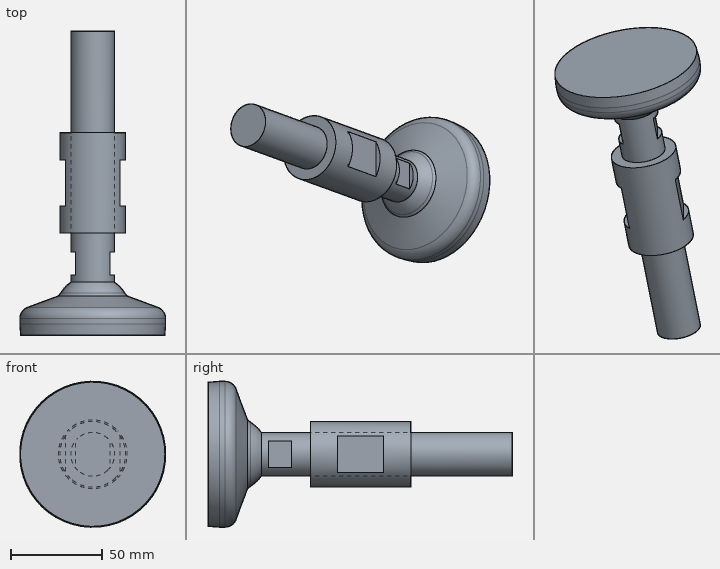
import cadquery as cq
import math

TOTAL_LENGTH = 166.5
SOLE_EDGE_Y = 6.2
ROUND_START_Y = 9.2
CONE_END_Y = 21.6
NECK_START_Y = 23.1
NECK_END_Y = 29.1

FOOT_RADIUS = 40.0
SOLE_RADIUS = 39.5
SHOULDER_ROUND = 6.7
CONE_END_RADIUS = 18.8
NECK_RADIUS = 17.6

SPINDLE_RADIUS = 12.0
SPINDLE_FLAT_WIDTH = 19.0
SPINDLE_FLAT_START_Y = 33.1
SPINDLE_FLAT_LENGTH = 12.5

SLEEVE_RADIUS = 18.0
SLEEVE_LENGTH = 55.0
SLEEVE_START_Y = 56.0
SLEEVE_FLAT_WIDTH = 30.0
SLEEVE_FLAT_LENGTH = 25.0
SLEEVE_FLAT_START_Y = SLEEVE_START_Y + (SLEEVE_LENGTH - SLEEVE_FLAT_LENGTH) / 2


def cylinder_along_y(radius, start_y, length):
    """Cylinder on the Y axis, from start_y towards +Y."""
    return cq.Workplane("XZ", origin=(0, start_y, 0)).circle(radius).extrude(-length)


def cut_wrench_flats(body, radius, flat_width, start_y, length):
    """Cut two flats, facing -X and +X, a distance flat_width apart."""
    slab = cq.Workplane("XY").box(2 * radius, length, 2 * radius)
    centre_y = start_y + length / 2
    for side in (-1, 1):
        body = body.cut(slab.translate((side * (flat_width / 2 + radius), centre_y, 0)))
    return body


def make_foot_profile():
    """Half outline of the foot, with X as the radius and Y as the axis."""
    round_centre_radius = FOOT_RADIUS - SHOULDER_ROUND
    cone_offset_radius = CONE_END_RADIUS - round_centre_radius
    cone_offset_y = CONE_END_Y - ROUND_START_Y
    cone_distance = math.hypot(cone_offset_radius, cone_offset_y)
    round_angle = math.atan2(cone_offset_y, cone_offset_radius) - math.acos(SHOULDER_ROUND / cone_distance)
    round_end = (
        round_centre_radius + SHOULDER_ROUND * math.cos(round_angle),
        ROUND_START_Y + SHOULDER_ROUND * math.sin(round_angle),
    )

    neck_centre_y = (
        SPINDLE_RADIUS**2 + NECK_END_Y**2 - NECK_RADIUS**2 - NECK_START_Y**2
    ) / (2 * (NECK_END_Y - NECK_START_Y))
    neck_sphere_radius = math.hypot(SPINDLE_RADIUS, NECK_END_Y - neck_centre_y)
    neck_middle_y = (NECK_START_Y + NECK_END_Y) / 2
    neck_middle_radius = math.sqrt(neck_sphere_radius**2 - (neck_middle_y - neck_centre_y) ** 2)
    return (
        cq.Workplane("XY")
        .lineTo(SOLE_RADIUS, 0)
        .lineTo(FOOT_RADIUS, SOLE_EDGE_Y)
        .lineTo(FOOT_RADIUS, ROUND_START_Y)
        .tangentArcPoint(round_end, relative=False)
        .lineTo(CONE_END_RADIUS, CONE_END_Y)
        .lineTo(NECK_RADIUS, NECK_START_Y)
        .threePointArc((neck_middle_radius, neck_middle_y), (SPINDLE_RADIUS, NECK_END_Y))
        .lineTo(0, NECK_END_Y)
        .close()
    )


def make_spindle_foot():
    """Round foot with a spindle that runs the full length."""
    foot = make_foot_profile().revolve(360, (0, 0, 0), (0, 1, 0))
    spindle = cylinder_along_y(SPINDLE_RADIUS, NECK_END_Y, TOTAL_LENGTH - NECK_END_Y)
    return cut_wrench_flats(
        foot.union(spindle),
        SPINDLE_RADIUS,
        SPINDLE_FLAT_WIDTH,
        SPINDLE_FLAT_START_Y,
        SPINDLE_FLAT_LENGTH,
    )


def make_sleeve():
    """Sleeve with wrench flats, bored to fit the spindle."""
    sleeve = cylinder_along_y(SLEEVE_RADIUS, SLEEVE_START_Y, SLEEVE_LENGTH)
    bore = cylinder_along_y(SPINDLE_RADIUS, SLEEVE_START_Y, SLEEVE_LENGTH)
    return cut_wrench_flats(
        sleeve.cut(bore),
        SLEEVE_RADIUS,
        SLEEVE_FLAT_WIDTH,
        SLEEVE_FLAT_START_Y,
        SLEEVE_FLAT_LENGTH,
    )


spindle_foot = make_spindle_foot()
sleeve = make_sleeve()

result = cq.Compound.makeCompound([spindle_foot.solids().val(), sleeve.solids().val()])